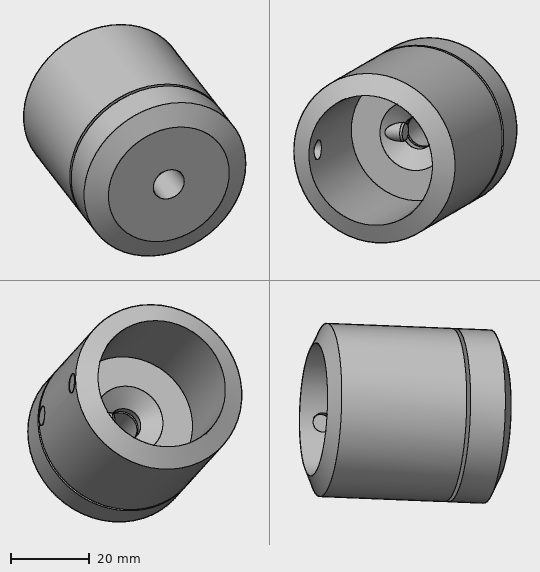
import cadquery as cq

total_length = 47.75
outer_radius = 22.0

sleeve_length = 35.0
bore_radius = 16.85
bore_depth = 29.15
sleeve_bevel_length = 2.6

hole_radius = 4.2
countersink_radius = 9.02
countersink_depth = 3.6

stud_radius = 2.5
side_hole_x = 6.05
side_hole_floor_y = 18.9
flat_recess_y = 21.8
stud_x = 32.37
stud_tip_y = 3.4
stud_tip_bevel_length = 0.55
stud_tip_bevel_width = 0.3

gap = 1.0
cap_bevel_length = 2.7
cap_end_radius = 16.43


def revolve_about_x(points):
    """Turn an (axial, radial) outline about the X axis."""
    return cq.Workplane("XY").polyline(points).close().revolve(360, (0, 0, 0), (1, 0, 0))


def radial_cylinder(x, start_y, end_y):
    """Cylinder along Y with the stud's radius."""
    base = cq.Workplane("XZ", origin=(x, start_y, 0))
    return base.circle(stud_radius).extrude(start_y - end_y)


def make_stud():
    """Stud with a bevelled tip, reaching from the outer surface into the floor opening."""
    tip_radius = stud_radius - stud_tip_bevel_width
    outline = [
        (stud_x, stud_tip_y),
        (stud_x + tip_radius, stud_tip_y),
        (stud_x + stud_radius, stud_tip_y + stud_tip_bevel_length),
        (stud_x + stud_radius, outer_radius),
        (stud_x, outer_radius),
    ]
    profile = cq.Workplane("XY").polyline(outline).close()
    return profile.revolve(360, (stud_x, 0, 0), (stud_x, 1, 0))


def make_sleeve():
    """Bevelled sleeve with a countersunk floor, a blind side hole, a flat recess and a stud."""
    sleeve = revolve_about_x([
        (0, bore_radius),
        (sleeve_bevel_length, outer_radius),
        (sleeve_length, outer_radius),
        (sleeve_length, hole_radius),
        (bore_depth + countersink_depth, hole_radius),
        (bore_depth, countersink_radius),
        (bore_depth, bore_radius),
    ])
    side_hole = radial_cylinder(side_hole_x, 0, side_hole_floor_y)
    flat_recess = radial_cylinder(side_hole_x, flat_recess_y, outer_radius)
    return sleeve.cut(side_hole).cut(flat_recess).union(make_stud())


def make_cap():
    """Ring-shaped cap bevelled at its +X end."""
    cap_start = sleeve_length + gap
    return revolve_about_x([
        (cap_start, hole_radius),
        (cap_start, outer_radius),
        (total_length - cap_bevel_length, outer_radius),
        (total_length, cap_end_radius),
        (total_length, hole_radius),
    ])


sleeve = make_sleeve()
cap = make_cap()
result = cq.Compound.makeCompound([sleeve.val(), cap.val()])